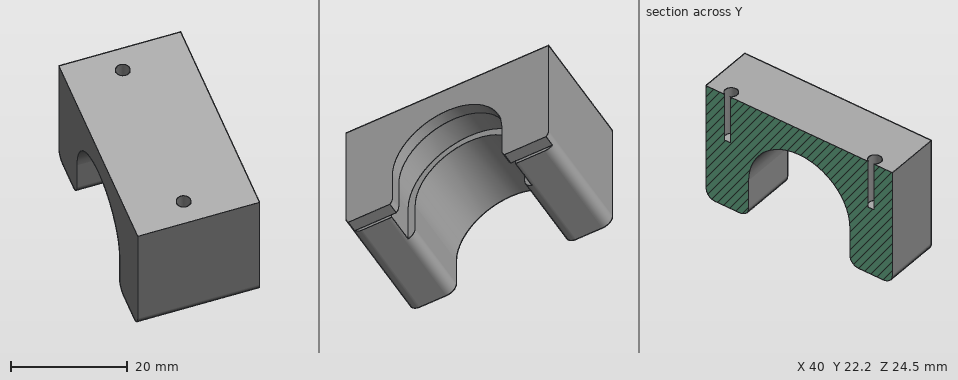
import cadquery as cq

length = 40.0
depth = 22.2
height = 24.5

saddle_radius = 10.8
roof_thickness = 5.7
saddle_center_z = height - roof_thickness - saddle_radius

foot_radius = 2.0

step_length = 2.2
step_height = 0.7

groove_recess = 1.4
groove_start = 14.3
groove_end = depth - step_length

hole_diameter = 2.5
hole_depth = 10.0
hole_spacing = 30.8
hole_y = 10.0


def make_opening(radius, start, end):
    """Round-topped opening running from Y = start to Y = end."""
    span = end - start
    leg_slot = (
        cq.Workplane("XY")
        .box(2 * radius, span, saddle_center_z, centered=(True, False, False))
        .translate((0, start, 0))
    )
    arch = (
        cq.Workplane("XZ", origin=(0, start, saddle_center_z))
        .circle(radius)
        .extrude(-span)
    )
    return leg_slot.union(arch)


def make_block():
    block = cq.Workplane("XY").box(length, depth, height, centered=(True, False, False))
    block = block.cut(make_opening(saddle_radius, 0, depth))
    return block.faces("<Z").edges("|Y").fillet(foot_radius)


def make_rear_step():
    return (
        cq.Workplane("XY")
        .box(length, step_length, step_height, centered=(True, False, False))
        .translate((0, depth - step_length, 0))
    )


def make_holes():
    return (
        cq.Workplane("XY", origin=(0, hole_y, height))
        .pushPoints([(-hole_spacing / 2, 0), (hole_spacing / 2, 0)])
        .circle(hole_diameter / 2)
        .extrude(-hole_depth)
    )


groove = make_opening(saddle_radius + groove_recess, groove_start, groove_end)
result = make_block().cut(groove).cut(make_rear_step()).cut(make_holes())